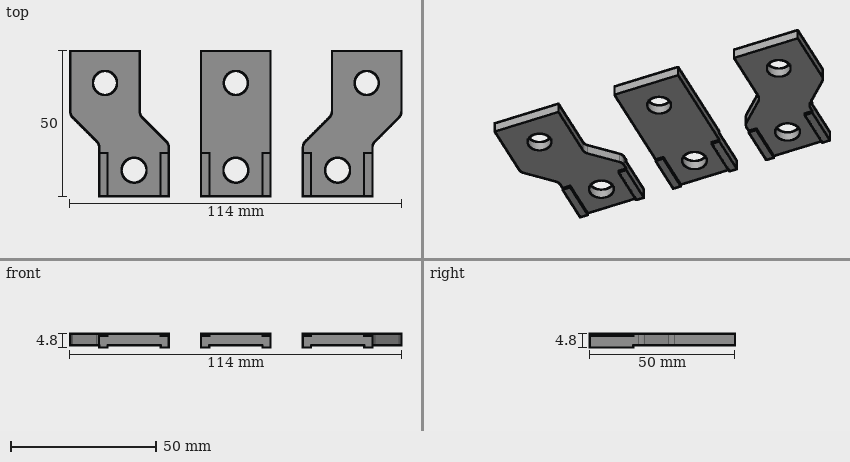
import cadquery as cq

bar_width = 24.0
bar_length = 50.0
bar_thickness = 4.0
terminal_pitch = 45.0

jog_offset = 10.0
jog_front_y = 18.0
jog_rear_y = jog_front_y + jog_offset
bend_radius = 3.0

front_hole_diameter = 8.5
rear_hole_diameter = 8.2
front_hole_y = 9.0
rear_hole_y = 39.0

rail_width = 2.9
rail_length = 15.0
rail_step = 0.8


def straight_blank():
    """Plain rectangular bar, front end at Y = 0 and centred on X = 0."""
    bar_centre = (0, bar_length / 2, 0)
    return cq.Workplane("XY", origin=bar_centre).rect(bar_width, bar_length).extrude(bar_thickness)


def jogged_blank(front_x):
    """Bar whose front end is shifted to front_x while its rear end stays centred on X = 0."""
    half_width = bar_width / 2
    outline = [
        (front_x - half_width, 0),
        (front_x + half_width, 0),
        (front_x + half_width, jog_front_y),
        (half_width, jog_rear_y),
        (half_width, bar_length),
        (-half_width, bar_length),
        (-half_width, jog_rear_y),
        (front_x - half_width, jog_front_y),
    ]
    blank = cq.Workplane("XY").polyline(outline).close().extrude(bar_thickness)
    bends = cq.selectors.BoxSelector(
        (-bar_width, jog_front_y - bend_radius, 0),
        (bar_width, jog_rear_y + bend_radius, bar_thickness),
    )
    return blank.edges("|Z").edges(bends).fillet(bend_radius)


def rail_strips(front_x, bottom_z):
    """Pair of strips, one step high, along both sides of the front end."""
    rail_offset = (bar_width - rail_width) / 2
    return (
        cq.Workplane("XY", origin=(front_x, rail_length / 2, bottom_z))
        .pushPoints([(-rail_offset, 0), (rail_offset, 0)])
        .rect(rail_width, rail_length)
        .extrude(rail_step)
    )


def bolt_hole(x, y, diameter):
    """Cylinder through the full bar thickness."""
    return cq.Workplane("XY", origin=(x, y, 0)).circle(diameter / 2).extrude(bar_thickness)


def finish_terminal(blank, front_x):
    """Step the front side rails down and drill both bolt holes."""
    upper_strips = rail_strips(front_x, bar_thickness - rail_step)
    lower_strips = rail_strips(front_x, -rail_step)
    front_hole = bolt_hole(front_x, front_hole_y, front_hole_diameter)
    rear_hole = bolt_hole(0, rear_hole_y, rear_hole_diameter)
    return blank.cut(upper_strips).union(lower_strips).cut(front_hole).cut(rear_hole)


straight_terminal = finish_terminal(straight_blank(), 0)

jogged_terminals = []
for side in (-1, 1):
    front_x = -side * jog_offset
    terminal = finish_terminal(jogged_blank(front_x), front_x)
    jogged_terminals.append(terminal.translate((side * terminal_pitch, 0, 0)))

result = cq.Compound.makeCompound([
    straight_terminal.val(),
    *[terminal.val() for terminal in jogged_terminals],
])